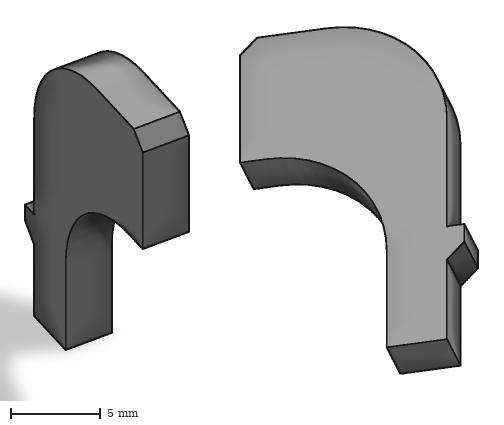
import cadquery as cq

height = 21.33
total_length = 13.0
thickness = 3.0

stem_width = 3.5
head_height = 8.0
bend_radius = 7.0
tip_chamfer = 1.0

lug_depth = 1.0
lug_top = 7.35
lug_nose_bottom = 6.2
lug_root_bottom = 5.18

arm_length = total_length - lug_depth
head_bottom = height - head_height
inner_bend_end = stem_width + bend_radius


def make_arm():
    """Upright stem that bends through a quarter turn into a deeper head."""
    profile = (
        cq.Workplane("XZ")
        .lineTo(stem_width, 0)
        .lineTo(stem_width, head_bottom - bend_radius)
        .radiusArc((inner_bend_end, head_bottom), bend_radius)
        .lineTo(arm_length, head_bottom)
        .lineTo(arm_length, height - tip_chamfer)
        .lineTo(arm_length - tip_chamfer, height)
        .lineTo(bend_radius, height)
        .radiusArc((0, height - bend_radius), -bend_radius)
        .close()
    )
    return profile.extrude(thickness)


def make_lug():
    """Small catch with a flat top and a sloping underside."""
    profile = (
        cq.Workplane("XZ")
        .moveTo(stem_width / 2, lug_top)
        .lineTo(-lug_depth, lug_top)
        .lineTo(-lug_depth, lug_nose_bottom)
        .lineTo(0, lug_root_bottom)
        .lineTo(stem_width / 2, lug_root_bottom)
        .close()
    )
    return profile.extrude(thickness)


result = make_arm().union(make_lug())